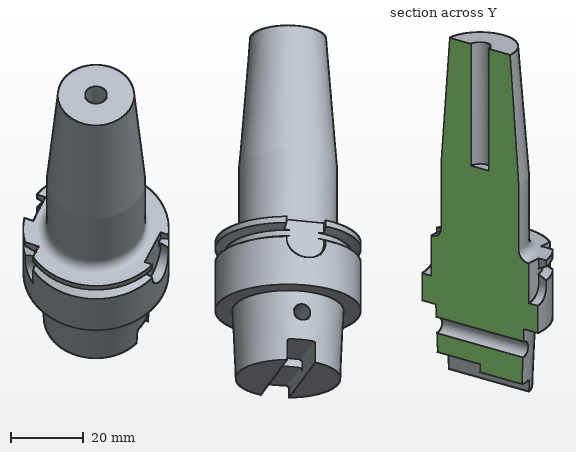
import cadquery as cq

total_height = 100.0
flange_bottom = 20.0
flange_top = 40.0
nose_start = 62.0

shank_end_radius = 14.4
shank_top_radius = 15.3
flange_radius = 20.0
body_radius = 13.5
nose_tip_radius = 10.5
neck_fillet = 3.0

groove_radius = 17.4
groove_lower_edge = 34.1
groove_upper_edge = 38.2
groove_side_height = 1.2

bore_diameter = 6.0
bore_depth = 36.0

keyway_floor = 16.9
narrow_keyway_width = 8.8
wide_keyway_width = 11.2
keyway_bottom = 28.2
notch_offset = 12.0
notch_width = 8.0

cross_hole_diameter = 4.6
cross_hole_height = 14.0
slot_width = 8.0
shallow_slot_depth = 3.6
deep_slot_depth = 6.0
slot_corner_radius = 0.8

clearance = 5.0


def holder_body():
    """Revolved shank, grooved flange, filleted neck and tapered nose."""
    return (
        cq.Workplane("XZ")
        .lineTo(shank_end_radius, 0)
        .lineTo(shank_top_radius, flange_bottom)
        .lineTo(flange_radius, flange_bottom)
        .lineTo(flange_radius, groove_lower_edge)
        .lineTo(groove_radius, groove_lower_edge + groove_side_height)
        .lineTo(groove_radius, groove_upper_edge - groove_side_height)
        .lineTo(flange_radius, groove_upper_edge)
        .lineTo(flange_radius, flange_top)
        .lineTo(body_radius + neck_fillet, flange_top)
        .radiusArc((body_radius, flange_top + neck_fillet), neck_fillet)
        .lineTo(body_radius, nose_start)
        .lineTo(nose_tip_radius, total_height)
        .lineTo(0, total_height)
        .close()
        .revolve(360, (0, 0, 0), (0, 1, 0))
    )


def round_bottom_cutter(width, center_y, inner_x, side):
    """Open-topped slot with a round bottom, running outward along X from inner_x."""
    radius = width / 2
    arc_height = keyway_bottom + radius
    cutter_top = flange_top
    return (
        cq.Workplane("YZ", origin=(side * inner_x, center_y, 0))
        .moveTo(-radius, cutter_top)
        .lineTo(-radius, arc_height)
        .threePointArc((0, keyway_bottom), (radius, arc_height))
        .lineTo(radius, cutter_top)
        .close()
        .extrude(side * (flange_radius - inner_x + clearance))
    )


def end_slot_cutter(depth, side):
    """Slot across one half of the shank end, with rounded upper corners."""
    length = shank_top_radius + clearance
    return (
        cq.Workplane("XY")
        .box(length, slot_width, depth + clearance, centered=(True, True, False))
        .translate((side * length / 2, 0, -clearance))
        .edges("|X and >Z")
        .fillet(slot_corner_radius)
    )


def cross_hole_cutter():
    """Round hole through the shank along X."""
    return (
        cq.Workplane("YZ", origin=(0, 0, cross_hole_height))
        .circle(cross_hole_diameter / 2)
        .extrude(shank_top_radius + clearance, both=True)
    )


def tool_bore_cutter():
    """Blind bore down from the nose tip."""
    return (
        cq.Workplane("XY", origin=(0, 0, total_height))
        .circle(bore_diameter / 2)
        .extrude(-bore_depth)
    )


result = holder_body()
result = result.cut(tool_bore_cutter())

result = result.cut(round_bottom_cutter(narrow_keyway_width, 0, keyway_floor, -1))
result = result.cut(round_bottom_cutter(wide_keyway_width, 0, keyway_floor, 1))
notch_center_y = -(notch_offset + notch_width / 2)
result = result.cut(round_bottom_cutter(notch_width, notch_center_y, notch_offset, -1))

result = result.cut(end_slot_cutter(shallow_slot_depth, -1))
result = result.cut(end_slot_cutter(deep_slot_depth, 1))
result = result.cut(cross_hole_cutter())